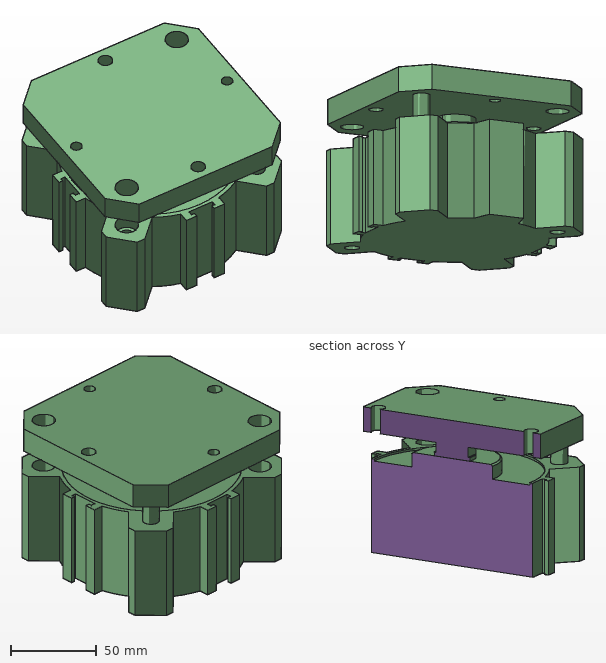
import cadquery as cq
side = 120.0
half_side = side / 2
overall_depth = 126.0
overall_height = 87.5
housing_height = 57.0
plate_thickness = 15.0
plate_bottom = overall_height - plate_thickness

barrel_radius = 55.0
corner_chamfer = 13.1
corner_flat = 5.3
post_root_depth = 17.6
cover_recess_diameter = 105.0
cover_recess_depth = 1.3
collar_diameter = 55.0
collar_height = 7.5
collar_chamfer = 1.0
bolt_diameter = 9.0
bolt_head_diameter = 13.5
bolt_head_depth = 8.8

rail_half_width = 13.1
rail_face = 59.7
slot_mouth_half_width = 5.9
slot_half_width = 8.0
slot_lip = 2.5
slot_floor = 54.4

rib_reach = overall_depth - half_side
rib_tip_half_width = 11.1
rib_root = 50.1
rib_base_half_width = 12.7

plate_chamfer = 14.5
corner_offset = 44.5
guide_rod_diameter = 10.0
piston_rod_diameter = 25.0
piston_rod_flats = 22.0
flat_height = 5.8
plate_hole_offset = 51.5
x_hole_diameter = 8.5
y_hole_diameter = 6.7

bolt_places = [(-corner_offset, corner_offset), (corner_offset, -corner_offset)]
guide_places = [(-corner_offset, -corner_offset), (corner_offset, corner_offset)]


def cylinder(diameter, bottom, top, places=((0, 0),)):
    """Upright cylinders at the given places, from one height to another."""
    return (
        cq.Workplane("XY").workplane(offset=bottom).pushPoints(places)
        .circle(diameter / 2).extrude(top - bottom)
    )


def corner_post(angle):
    """Post of the housing corner, built at +X -Y and turned about the axis."""
    chamfer_start = half_side - corner_chamfer
    flat_start = chamfer_start - corner_flat
    root_x = flat_start - post_root_depth
    root_y = -half_side + post_root_depth
    outline = [
        (flat_start, -half_side),
        (chamfer_start, -half_side),
        (half_side, -chamfer_start),
        (half_side, -flat_start),
        (-root_y, -root_x),
        (root_x, root_y),
    ]
    post = cq.Workplane("XY").polyline(outline).close().extrude(housing_height)
    return post.rotate((0, 0, 0), (0, 0, 1), angle)


def rail_block(angle):
    """Raised block that carries one sensor slot, built at -Y and turned about the axis."""
    block = (
        cq.Workplane("XY")
        .rect(2 * rail_half_width, rail_face, centered=(True, False))
        .extrude(housing_height).translate((0, -rail_face, 0))
    )
    return block.rotate((0, 0, 0), (0, 0, 1), angle)


def sensor_slot(angle):
    """T-shaped slot between two rails, built at -Y and turned about the axis."""
    lip_back = rail_face - slot_lip
    outline = [
        (-slot_mouth_half_width, -half_side),
        (-slot_mouth_half_width, -lip_back),
        (-slot_half_width, -lip_back),
        (-slot_half_width, -slot_floor),
        (slot_half_width, -slot_floor),
        (slot_half_width, -lip_back),
        (slot_mouth_half_width, -lip_back),
        (slot_mouth_half_width, -half_side),
    ]
    slot = cq.Workplane("XY").polyline(outline).close().extrude(housing_height)
    return slot.rotate((0, 0, 0), (0, 0, 1), angle)


def back_rib():
    """Tapered rib along the +Y side; its straight flanks run on into the barrel."""
    taper = (rib_base_half_width - rib_tip_half_width) / (rib_reach - half_side)
    root_half_width = rib_tip_half_width + taper * (rib_reach - rib_root)
    outline = [
        (-root_half_width, rib_root),
        (root_half_width, rib_root),
        (rib_tip_half_width, rib_reach),
        (-rib_tip_half_width, rib_reach),
    ]
    return cq.Workplane("XY").polyline(outline).close().extrude(housing_height)


def make_housing():
    slot_angles = [0, 90, -90]
    body = cylinder(2 * barrel_radius, 0, housing_height)
    for angle in [0, 90, 180, 270]:
        body = body.union(corner_post(angle))
    for angle in slot_angles:
        body = body.union(rail_block(angle))
    for angle in slot_angles:
        body = body.cut(sensor_slot(angle))
    body = body.union(back_rib())

    recess_floor = housing_height - cover_recess_depth
    body = body.cut(cylinder(cover_recess_diameter, recess_floor, housing_height))
    collar = cylinder(collar_diameter, recess_floor, housing_height + collar_height)
    body = body.union(collar.faces(">Z").edges().chamfer(collar_chamfer))

    body = body.cut(cylinder(bolt_diameter, 0, housing_height, bolt_places))
    head_floor = housing_height - bolt_head_depth
    return body.cut(cylinder(bolt_head_diameter, head_floor, housing_height, bolt_places))


def make_piston_rod():
    """Piston rod with two flats facing -X and +X just below the plate."""
    bottom = housing_height + collar_height
    flat_bottom = plate_bottom - flat_height
    rod = cylinder(piston_rod_diameter, bottom, plate_bottom)
    flats = (
        cq.Workplane("XY").workplane(offset=flat_bottom)
        .rect(2 * piston_rod_diameter, 2 * piston_rod_diameter)
        .rect(piston_rod_flats, piston_rod_diameter)
        .extrude(flat_height)
    )
    return rod.cut(flats)


def make_moving_plate():
    plate = (
        cq.Workplane("XY").workplane(offset=plate_bottom)
        .rect(side, side).extrude(plate_thickness)
        .edges("|Z").chamfer(plate_chamfer)
    )
    x_places = [(-plate_hole_offset, 0), (plate_hole_offset, 0)]
    y_places = [(0, -plate_hole_offset), (0, plate_hole_offset)]
    holes = [
        (bolt_head_diameter, bolt_places),
        (x_hole_diameter, x_places),
        (y_hole_diameter, y_places),
    ]
    for diameter, places in holes:
        plate = plate.cut(cylinder(diameter, plate_bottom, overall_height, places))
    guide_rods = cylinder(guide_rod_diameter, housing_height, plate_bottom, guide_places)
    return plate.union(guide_rods).union(make_piston_rod())


housing = make_housing()
moving_plate = make_moving_plate()

result = cq.Compound.makeCompound([housing.val(), moving_plate.val()])